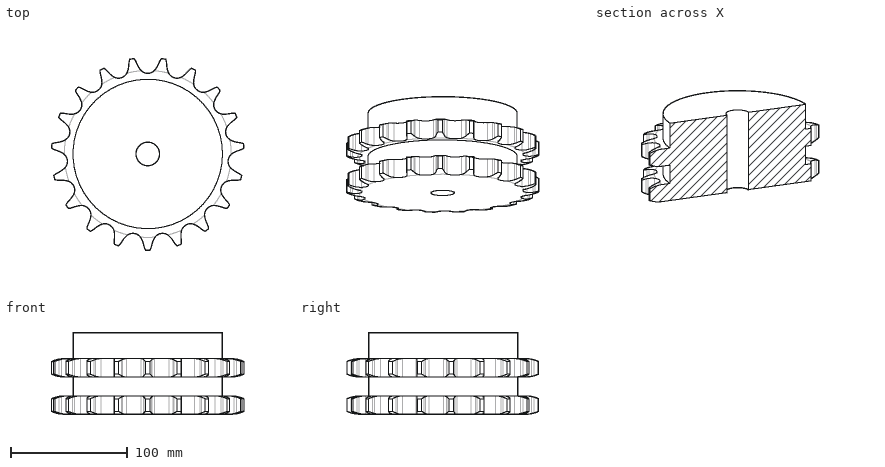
import math

import cadquery as cq

TOOTH_COUNT = 19
CHAIN_PITCH = 25.4
ROLLER_DIAMETER = 15.88
ROW_SPACING = 31.9
TOOTH_WIDTH = 15.8
TIP_DIAMETER = 165.2
HUB_DIAMETER = 128.0
BORE_DIAMETER = 20.0
TOTAL_HEIGHT = 70.0

SIDE_RADIUS = 26.0
SIDE_RELIEF = 2.5

SEAT_CLEARANCE = 0.038
SEAT_FACTOR = 0.5025
WORKING_FACTOR = 1.3025
WORKING_CENTER_FACTOR = 0.8
TOPPING_CENTER_FACTOR = 1.4
SEAT_END_ANGLE = 35 + 60 / TOOTH_COUNT
WORKING_SWEEP = 18 - 56 / TOOTH_COUNT
TOPPING_ANGLE = 17 - 64 / TOOTH_COUNT

TOOTH_ANGLE = 360 / TOOTH_COUNT
PITCH_RADIUS = CHAIN_PITCH / (2 * math.sin(math.pi / TOOTH_COUNT))
TIP_RADIUS = TIP_DIAMETER / 2
SEAT_RADIUS = SEAT_FACTOR * ROLLER_DIAMETER + SEAT_CLEARANCE
WORKING_RADIUS = WORKING_FACTOR * ROLLER_DIAMETER + SEAT_CLEARANCE
STRAIGHT_LENGTH = ROLLER_DIAMETER * (
    TOPPING_CENTER_FACTOR * math.sin(math.radians(TOPPING_ANGLE))
    - WORKING_CENTER_FACTOR * math.sin(math.radians(WORKING_SWEEP))
)
TOPPING_RADIUS = (
    ROLLER_DIAMETER * TOPPING_CENTER_FACTOR * math.cos(math.radians(TOPPING_ANGLE))
    + ROLLER_DIAMETER * WORKING_CENTER_FACTOR * math.cos(math.radians(WORKING_SWEEP))
    - WORKING_RADIUS
)


def on_circle(center, radius, angle):
    """Point at an angle in degrees on a circle."""
    turn = math.radians(angle)
    return (center[0] + radius * math.cos(turn), center[1] + radius * math.sin(turn))


def gap_flank():
    """Points of one half of a tooth gap, from its bottom to the tooth tip.

    The gap opens along +X and the half lies on its +Y side. Each normal is
    the direction from the gap into the tooth: 180 at the bottom, turning towards 90.
    """
    seat_center = (PITCH_RADIUS, 0)
    seat_end_normal = 90 + SEAT_END_ANGLE
    flank_normal = seat_end_normal - WORKING_SWEEP

    bottom = on_circle(seat_center, SEAT_RADIUS, 180)
    seat_end = on_circle(seat_center, SEAT_RADIUS, seat_end_normal)

    working_center = on_circle(seat_end, -WORKING_RADIUS, seat_end_normal)
    working_middle = on_circle(working_center, WORKING_RADIUS, (seat_end_normal + flank_normal) / 2)
    working_end = on_circle(working_center, WORKING_RADIUS, flank_normal)

    straight_end = on_circle(working_end, STRAIGHT_LENGTH, flank_normal - 90)

    topping_center = on_circle(straight_end, TOPPING_RADIUS, flank_normal)
    center_distance = math.hypot(*topping_center)
    center_bearing = math.atan2(topping_center[1], topping_center[0])
    tip_offset = math.acos(
        (center_distance**2 + TIP_RADIUS**2 - TOPPING_RADIUS**2) / (2 * center_distance * TIP_RADIUS)
    )
    tip_corner = on_circle((0, 0), TIP_RADIUS, math.degrees(center_bearing - tip_offset))
    tip_normal = math.degrees(
        math.atan2(topping_center[1] - tip_corner[1], topping_center[0] - tip_corner[0])
    )
    topping_middle = on_circle(topping_center, -TOPPING_RADIUS, (flank_normal + tip_normal) / 2)

    return [
        bottom,
        seat_end,
        working_middle,
        working_end,
        straight_end,
        topping_middle,
        tip_corner,
    ]


def turned(point, angle):
    """Point rotated about the sprocket axis by an angle in degrees."""
    bearing = math.degrees(math.atan2(point[1], point[0]))
    return on_circle((0, 0), math.hypot(*point), bearing + angle)


def tooth_outline():
    """Closed sprocket outline with one tooth centred on -Y."""
    flank = gap_flank()
    mirrored_flank = [(x, -y) for x, y in flank]
    first_gap_angle = -90 + TOOTH_ANGLE / 2

    outline = cq.Workplane("XY").moveTo(*turned(mirrored_flank[-1], first_gap_angle))
    for gap in range(TOOTH_COUNT):
        gap_angle = first_gap_angle + gap * TOOTH_ANGLE
        rising = [turned(point, gap_angle) for point in flank]
        falling = [turned(point, gap_angle) for point in mirrored_flank]
        bottom, seat_end, working_middle, working_end, straight_end, topping_middle, tip_corner = rising
        (
            _,
            falling_seat_end,
            falling_working_middle,
            falling_working_end,
            falling_straight_end,
            falling_topping_middle,
            _,
        ) = falling
        tip_middle = on_circle((0, 0), TIP_RADIUS, gap_angle + TOOTH_ANGLE / 2)
        next_tip_corner = turned(mirrored_flank[-1], gap_angle + TOOTH_ANGLE)
        outline = (
            outline.threePointArc(falling_topping_middle, falling_straight_end)
            .lineTo(*falling_working_end)
            .threePointArc(falling_working_middle, falling_seat_end)
            .threePointArc(bottom, seat_end)
            .threePointArc(working_middle, working_end)
            .lineTo(*straight_end)
            .threePointArc(topping_middle, tip_corner)
            .threePointArc(tip_middle, next_tip_corner)
        )
    return outline.close()


def side_envelope():
    """Disc whose rim is rounded on both faces, limiting the tooth sides."""
    rounding_width = math.sqrt(SIDE_RADIUS**2 - (SIDE_RADIUS - SIDE_RELIEF) ** 2)
    face_radius = TIP_RADIUS - rounding_width
    half_sweep = math.asin(rounding_width / SIDE_RADIUS) / 2
    middle_radius = face_radius + SIDE_RADIUS * math.sin(half_sweep)
    middle_relief = SIDE_RADIUS * (1 - math.cos(half_sweep))
    return (
        cq.Workplane("XZ")
        .lineTo(face_radius, 0)
        .threePointArc((middle_radius, middle_relief), (TIP_RADIUS, SIDE_RELIEF))
        .lineTo(TIP_RADIUS, TOOTH_WIDTH - SIDE_RELIEF)
        .threePointArc((middle_radius, TOOTH_WIDTH - middle_relief), (face_radius, TOOTH_WIDTH))
        .lineTo(0, TOOTH_WIDTH)
        .close()
        .revolve(360, (0, 0, 0), (0, 1, 0))
    )


def toothed_row():
    """One row of teeth standing on Z = 0."""
    return tooth_outline().extrude(TOOTH_WIDTH).intersect(side_envelope())


def hub():
    """Plain cylinder that carries both rows."""
    return cq.Workplane("XY").circle(HUB_DIAMETER / 2).extrude(TOTAL_HEIGHT)


def bore():
    """Through hole along the axis."""
    return cq.Workplane("XY").circle(BORE_DIAMETER / 2).extrude(TOTAL_HEIGHT)


row = toothed_row()
result = hub().union(row).union(row.translate((0, 0, ROW_SPACING))).cut(bore())